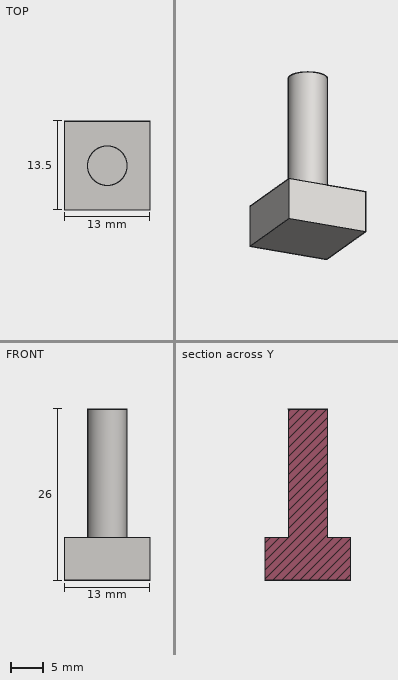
import cadquery as cq

head_length_x = 13.0
head_width_y = 13.5
head_height = 6.5

overall_height = 26.0
shank_diameter = 6.01
shank_length = overall_height - head_height


def make_head():
    """Plain rectangular block centred on the Z axis."""
    return cq.Workplane("XY").box(
        head_length_x, head_width_y, head_height, centered=(True, True, False)
    )


def add_shank(body):
    """Add the cylindrical shank on top of the head."""
    return body.faces(">Z").workplane().circle(shank_diameter / 2).extrude(shank_length)


result = add_shank(make_head())